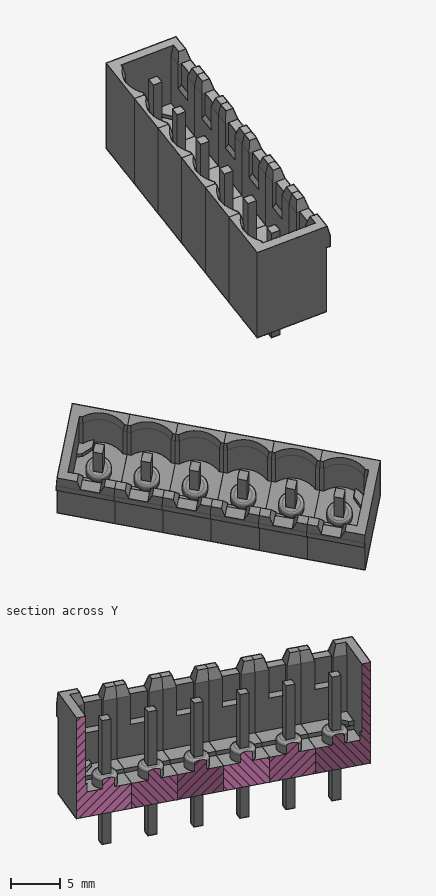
import cadquery as cq
import math


ROW_LENGTH = 32.0
MODULE_COUNT = 6
TOTAL_DEPTH = 8.5
HOUSING_HEIGHT = 12.0
END_WALL = 1.0
PITCH = (ROW_LENGTH - 2 * END_WALL) / MODULE_COUNT
HALF_CELL = PITCH / 2

PIN_WIDTH = 1.0
PIN_TAIL = 4.0
PIN_TOP_BELOW_RIM = 1.3

FRONT_Y = -3.8
HOOK_Y = FRONT_Y + TOTAL_DEPTH
HOOK_REACH = 0.45
REAR_Y = HOOK_Y - HOOK_REACH
HOOK_HEIGHT = 3.0
HOOK_LEAD_IN = 0.4
HOOK_LEAD_IN_HEIGHT = 1.5

RIM_DEPTH = 1.35
RIM_INSET = 0.3
RIM_BASE_Z = HOUSING_HEIGHT - RIM_DEPTH

FLOOR_Z = 3.0
FRONT_WALL = 1.5
REAR_WALL = 1.5
CAVITY_FRONT_Y = FRONT_Y + FRONT_WALL
CAVITY_REAR_Y = HOOK_Y - REAR_WALL
SCALLOP_RADIUS = 3.1

NOTCH_FLOOR_WIDTH = 2.0
NOTCH_FLANK = 0.4
RECESS_DEPTH = 0.4
RECESS_HEIGHT = 3.0

STEP_HEIGHT = 0.48
STEP_Y = 1.1
PAD_HEIGHT = 2 * STEP_HEIGHT
REAR_PAD_WIDTH = 2.0
REAR_PAD_STRAIGHT = 0.58
FRONT_PAD_WIDTH = 1.45
FRONT_PAD_REAR_Y = -1.05
FRONT_PAD_CORNER_Y = -2.08
PAD_TIP_WIDTH = 0.55
PAD_TIP_DROP = 0.15
BOSS_RADIUS = 1.3
BOSS_HEIGHT = 1.28
BOSS_ROUND = 0.4


def housing_block(left, right):
    """Solid cell between two X values, with the overhanging hook along its rear top edge."""
    return (
        cq.Workplane("YZ", origin=(left, 0, 0))
        .moveTo(FRONT_Y, 0)
        .lineTo(REAR_Y, 0)
        .lineTo(REAR_Y, HOUSING_HEIGHT - HOOK_HEIGHT)
        .lineTo(HOOK_Y, HOUSING_HEIGHT - HOOK_HEIGHT)
        .lineTo(HOOK_Y, HOUSING_HEIGHT - HOOK_LEAD_IN_HEIGHT)
        .lineTo(HOOK_Y - HOOK_LEAD_IN, HOUSING_HEIGHT)
        .lineTo(FRONT_Y, HOUSING_HEIGHT)
        .close()
        .extrude(right - left)
    )


def cavity_outline(plane, widening):
    """Cell outline with a scalloped front, moved outward at front and rear by the widening."""
    front = CAVITY_FRONT_Y - widening
    rear = CAVITY_REAR_Y + widening
    radius = SCALLOP_RADIUS + widening
    half_chord = math.sqrt(radius**2 - front**2)
    return (
        plane.moveTo(-HALF_CELL, rear)
        .lineTo(-HALF_CELL, front)
        .lineTo(-half_chord, front)
        .threePointArc((0, -radius), (half_chord, front))
        .lineTo(HALF_CELL, front)
        .lineTo(HALF_CELL, rear)
        .close()
    )


def cavity(floor_z):
    """Straight cavity from the given height, opening out over the sloped band at its mouth."""
    shaft = cavity_outline(cq.Workplane("XY", origin=(0, 0, floor_z)), 0)
    shaft = shaft.extrude(RIM_BASE_Z - floor_z)
    mouth = cavity_outline(cq.Workplane("XY", origin=(0, 0, RIM_BASE_Z)), 0)
    mouth = cavity_outline(mouth.workplane(offset=RIM_DEPTH), RIM_INSET).loft(ruled=True)
    return shaft.union(mouth)


def rear_notch():
    """Flared notch through the top of the rear wall."""
    half_floor = NOTCH_FLOOR_WIDTH / 2
    half_top = half_floor + NOTCH_FLANK
    return (
        cq.Workplane("XZ", origin=(0, HOOK_Y, 0))
        .moveTo(-half_floor, RIM_BASE_Z)
        .lineTo(half_floor, RIM_BASE_Z)
        .lineTo(half_top, HOUSING_HEIGHT)
        .lineTo(-half_top, HOUSING_HEIGHT)
        .close()
        .extrude(REAR_WALL)
    )


def rear_recess():
    """Shallow recess under the notch, in the inner face of the rear wall, with a sloped sill."""
    back = CAVITY_REAR_Y + RECESS_DEPTH
    sill_z = RIM_BASE_Z - RECESS_HEIGHT
    return (
        cq.Workplane("YZ", origin=(-NOTCH_FLOOR_WIDTH / 2, 0, 0))
        .moveTo(CAVITY_REAR_Y, RIM_BASE_Z)
        .lineTo(back, RIM_BASE_Z)
        .lineTo(back, sill_z)
        .lineTo(CAVITY_REAR_Y, sill_z - RECESS_DEPTH)
        .close()
        .extrude(NOTCH_FLOOR_WIDTH)
    )


def floor_step():
    """Raised rear part of the cavity floor."""
    step_depth = CAVITY_REAR_Y - STEP_Y
    return (
        cq.Workplane("XY", origin=(0, STEP_Y, FLOOR_Z))
        .box(PITCH, step_depth, STEP_HEIGHT, centered=(True, False, False))
    )


def corner_pads(side):
    """Two low pads on the floor at the end wall; side is -1 for the left wall, +1 for the right."""

    def x_from_wall(distance):
        return side * (HALF_CELL - distance)

    rear_pad = [
        (x_from_wall(0), CAVITY_REAR_Y),
        (x_from_wall(REAR_PAD_WIDTH), CAVITY_REAR_Y),
        (x_from_wall(REAR_PAD_WIDTH), CAVITY_REAR_Y - REAR_PAD_STRAIGHT),
        (x_from_wall(PAD_TIP_WIDTH), STEP_Y + PAD_TIP_DROP),
        (x_from_wall(0), STEP_Y),
    ]
    front_pad = [
        (x_from_wall(0), -SCALLOP_RADIUS),
        (x_from_wall(FRONT_PAD_WIDTH), -SCALLOP_RADIUS),
        (x_from_wall(FRONT_PAD_WIDTH), FRONT_PAD_CORNER_Y),
        (x_from_wall(PAD_TIP_WIDTH), FRONT_PAD_REAR_Y - PAD_TIP_DROP),
        (x_from_wall(0), FRONT_PAD_REAR_Y),
    ]
    floor = cq.Workplane("XY", origin=(0, 0, FLOOR_Z))
    pads = floor.polyline(rear_pad).close().extrude(PAD_HEIGHT)
    pads = pads.union(floor.polyline(front_pad).close().extrude(PAD_HEIGHT))
    return pads.intersect(cavity(FLOOR_Z))


def pin_boss():
    """Round collar at the foot of the pin, with a rounded top edge."""
    collar = cq.Workplane("XY", origin=(0, 0, FLOOR_Z)).circle(BOSS_RADIUS).extrude(BOSS_HEIGHT)
    return collar.faces(">Z").edges().fillet(BOSS_ROUND)


def contact_pin():
    """Square pin from below the base to just under the rim."""
    length = PIN_TAIL + HOUSING_HEIGHT - PIN_TOP_BELOW_RIM
    return (
        cq.Workplane("XY", origin=(0, 0, -PIN_TAIL))
        .box(PIN_WIDTH, PIN_WIDTH, length, centered=(True, True, False))
    )


def module(index):
    """One cell of the row in its place; the first and last also carry an end wall."""
    is_first = index == 0
    is_last = index == MODULE_COUNT - 1
    left = -HALF_CELL - (END_WALL if is_first else 0)
    right = HALF_CELL + (END_WALL if is_last else 0)

    body = housing_block(left, right).cut(cavity(FLOOR_Z)).cut(rear_notch()).cut(rear_recess())
    body = body.union(floor_step())
    if is_first:
        body = body.union(corner_pads(-1))
    if is_last:
        body = body.union(corner_pads(1))
    body = body.union(pin_boss()).union(contact_pin())

    pin_x = (index - (MODULE_COUNT - 1) / 2) * PITCH
    return body.translate((pin_x, 0, 0))


modules = [module(index).val() for index in range(MODULE_COUNT)]
result = cq.Compound.makeCompound(modules)